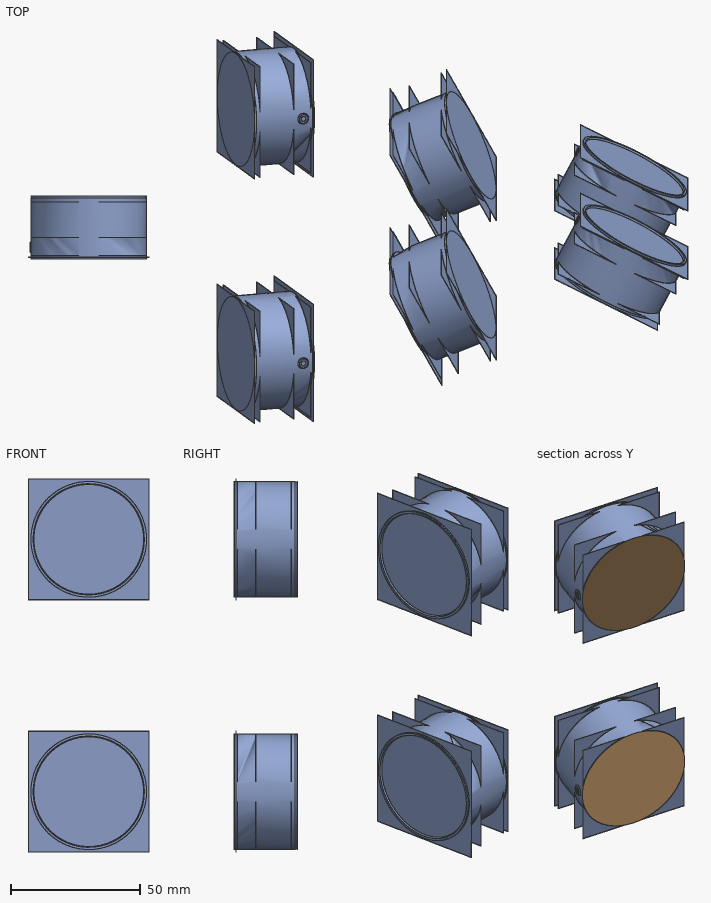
import cadquery as cq

depth = 24.5
overall_height = 144.3

drum_radius = 22.4
recess_radius = 21.5
recess_floor_radius = 21.2
recess_depth = 0.7
rear_step_radius = 22.2
rear_step_length = 0.9

plate_thickness = 0.07
front_plate_side = 46.7
inner_plate_side = 44.0
rear_plate_side = 2 * drum_radius
inner_plate_gap = 0.6
middle_plate_y = 8.4
back_plate_y = 22.1

pin_radius = 2.2
pin_tip_radius = 1.7
pin_bore_radius = 1.0
pin_bore_depth = 0.3
pin_projection = 0.5
pin_embed = 1.5
pin_y = 4.6

assembly_pitch = overall_height - front_plate_side
assembly_heights = [-assembly_pitch / 2, assembly_pitch / 2]

pin_inner_x = -(drum_radius - pin_embed)
pin_outer_x = -(drum_radius + pin_projection)


def pin_axis_cylinder(radius, start, length):
    """Cylinder on the pin's axis, running toward +X from `start`, or toward -X for a negative length."""
    return cq.Workplane("YZ", origin=(start, pin_y, 0)).circle(radius).extrude(length)


def square_plate(side, start):
    """Thin square plate across the Y axis, with its front face at `start`."""
    return cq.Workplane("XZ", origin=(0, start, 0)).rect(side, side).extrude(-plate_thickness)


def make_drum():
    """Stepped drum with a shallow front recess whose wall tapers to its floor."""
    rear_step_y = depth - rear_step_length
    profile = [
        (0, recess_depth),
        (recess_floor_radius, recess_depth),
        (recess_radius, 0),
        (drum_radius, 0),
        (drum_radius, rear_step_y),
        (rear_step_radius, rear_step_y),
        (rear_step_radius, depth),
        (0, depth),
    ]
    return cq.Workplane("XY").polyline(profile).close().revolve(360, (0, 0, 0), (0, 1, 0))


def add_plates(drum):
    """Fuse the square plates to the drum."""
    inner_front_y = recess_depth + plate_thickness + inner_plate_gap
    plates = [
        (front_plate_side, recess_depth),
        (inner_plate_side, inner_front_y),
        (inner_plate_side, middle_plate_y),
        (inner_plate_side, back_plate_y),
        (rear_plate_side, depth - plate_thickness),
    ]
    for side, start in plates:
        drum = drum.union(square_plate(side, start))
    return drum


def cut_pin_hole(drum):
    """Blind hole that holds the pin, running in from the -X side."""
    hole = pin_axis_cylinder(pin_radius, pin_inner_x, pin_outer_x - pin_inner_x)
    return drum.cut(hole)


def make_housing():
    """Drum with its plates and its pin hole."""
    return cut_pin_hole(add_plates(make_drum()))


def make_pin():
    """Round pin with a chamfered tip and a shallow bore in its outer end."""
    tip_chamfer = pin_radius - pin_tip_radius
    pin = pin_axis_cylinder(pin_radius, pin_inner_x, pin_outer_x - pin_inner_x)
    pin = pin.faces("<X").chamfer(tip_chamfer)
    bore = pin_axis_cylinder(pin_bore_radius, pin_outer_x, pin_bore_depth)
    return pin.cut(bore)


bodies = []
for height in assembly_heights:
    housing = make_housing().translate((0, 0, height))
    pin = make_pin().translate((0, 0, height))
    bodies += [housing.val(), pin.val()]

result = cq.Compound.makeCompound(bodies)